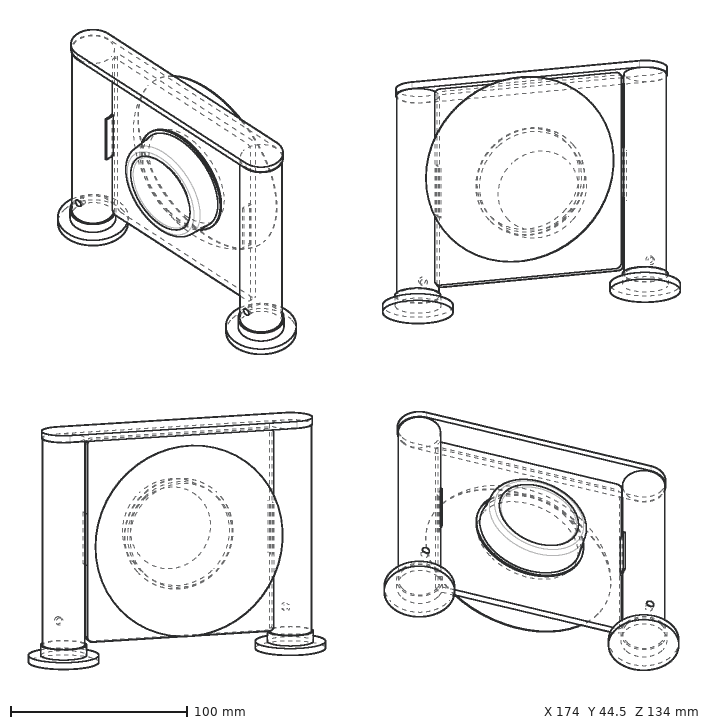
import cadquery as cq

post_spacing = 134.0
post_radius = 12.0
collar_radius = 13.0
collar_height = 6.0
foot_radius = 20.0
foot_thickness = 4.0
post_bottom = foot_thickness + collar_height
total_height = 134.0

screw_hole_radius = 2.1
screw_hole_depth = 3.5
screw_hole_height = 22.0

cap_radius = 12.5
cap_thickness = 4.0
cap_bottom = total_height - cap_thickness

lug_reach = 12.9
lug_height = 30.0
lug_front = -2.1

panel_front = 3.5
panel_thickness = 4.0
panel_back = panel_front + panel_thickness
panel_bottom = 12.2
panel_width = post_spacing - 2 * post_radius
panel_corner_radius = 3.0
boss_radius = 32.0
boss_height = 1.0

bell_height = 71.1
neck_base_radius = 30.1
neck_front_radius = 29.0
neck_front = -13.4
lip_fillet = 2.5
bowl_mouth_radius = 23.7
bowl_radius = 22.6
bowl_step = 0.7
bowl_depth = 8.7
dish_rim_radius = 55.3
dish_rim_width = 0.5
dish_back = 24.5
dish_root_radius = 33.0
dish_middle_radius = 48.7
dish_middle = 14.0


def make_foot(x):
    """Round foot plate with the collar that carries a post."""
    plate = cq.Workplane("XY").center(x, 0).circle(foot_radius).extrude(foot_thickness)
    return plate.faces(">Z").workplane().circle(collar_radius).extrude(collar_height)


def make_post(x):
    """Round post with a screw hole in front and a lug facing the middle of the stand."""
    inward = -1 if x > 0 else 1
    post = (
        cq.Workplane("XY", origin=(x, 0, post_bottom))
        .circle(post_radius)
        .extrude(cap_bottom - post_bottom)
    )
    lug_depth = panel_front - lug_front
    lug = cq.Workplane("XY").box(lug_reach, lug_depth, lug_height).translate(
        (x + inward * lug_reach / 2, lug_front + lug_depth / 2, bell_height)
    )
    screw_hole = (
        cq.Workplane("XZ", origin=(x, -post_radius + screw_hole_depth, screw_hole_height))
        .circle(screw_hole_radius)
        .extrude(screw_hole_depth)
    )
    return post.union(lug).cut(screw_hole)


def make_cap():
    """Flat bar with round ends that joins the tops of both posts."""
    return (
        cq.Workplane("XY", origin=(0, 0, cap_bottom))
        .slot2D(post_spacing + 2 * cap_radius, 2 * cap_radius)
        .extrude(cap_thickness)
    )


def make_panel():
    """Plate under the cap, with a raised ring around the hole for the bell."""
    height = cap_bottom - panel_bottom
    plate = (
        cq.Workplane("XY")
        .box(panel_width, panel_thickness, height)
        .edges("|Y")
        .fillet(panel_corner_radius)
        .translate((0, panel_front + panel_thickness / 2, panel_bottom + height / 2))
    )
    boss = (
        cq.Workplane("XZ", origin=(0, panel_front, bell_height))
        .circle(boss_radius)
        .extrude(boss_height)
    )
    hole = (
        cq.Workplane("XZ", origin=(0, panel_back, bell_height))
        .circle(neck_base_radius)
        .extrude(panel_thickness + boss_height)
    )
    return plate.union(boss).cut(hole)


def make_bell():
    """Turned bell: bowl and neck in front of the panel, flared dish behind it."""
    neck_root = panel_front - boss_height
    bowl_edge = neck_front + bowl_step
    bowl_bottom = bowl_edge + bowl_depth
    sphere_radius = (bowl_radius**2 + bowl_depth**2) / (2 * bowl_depth)
    middle_radius = bowl_radius / 2
    middle_sag = sphere_radius - (sphere_radius**2 - middle_radius**2) ** 0.5
    profile = (
        cq.Workplane("XY")
        .moveTo(0, bowl_bottom)
        .threePointArc((middle_radius, bowl_bottom - middle_sag), (bowl_radius, bowl_edge))
        .lineTo(bowl_mouth_radius, neck_front)
        .lineTo(neck_front_radius - lip_fillet, neck_front)
        .tangentArcPoint((neck_front_radius, neck_front + lip_fillet), relative=False)
        .lineTo(neck_base_radius, neck_root)
        .lineTo(neck_base_radius, panel_back)
        .lineTo(dish_root_radius, panel_back)
        .threePointArc(
            (dish_middle_radius, dish_middle),
            (dish_rim_radius, dish_back - dish_rim_width),
        )
        .lineTo(dish_rim_radius, dish_back)
        .lineTo(0, dish_back)
        .close()
    )
    bell = profile.revolve(360, (0, 0, 0), (0, 1, 0))
    return bell.translate((0, 0, bell_height))


post_places = [-post_spacing / 2, post_spacing / 2]
feet = [make_foot(x) for x in post_places]
posts = [make_post(x) for x in post_places]
cap = make_cap()
panel = make_panel()
bell = make_bell()

result = cq.Compound.makeCompound(
    [foot.val() for foot in feet]
    + [post.val() for post in posts]
    + [cap.val(), panel.val(), bell.val()]
)